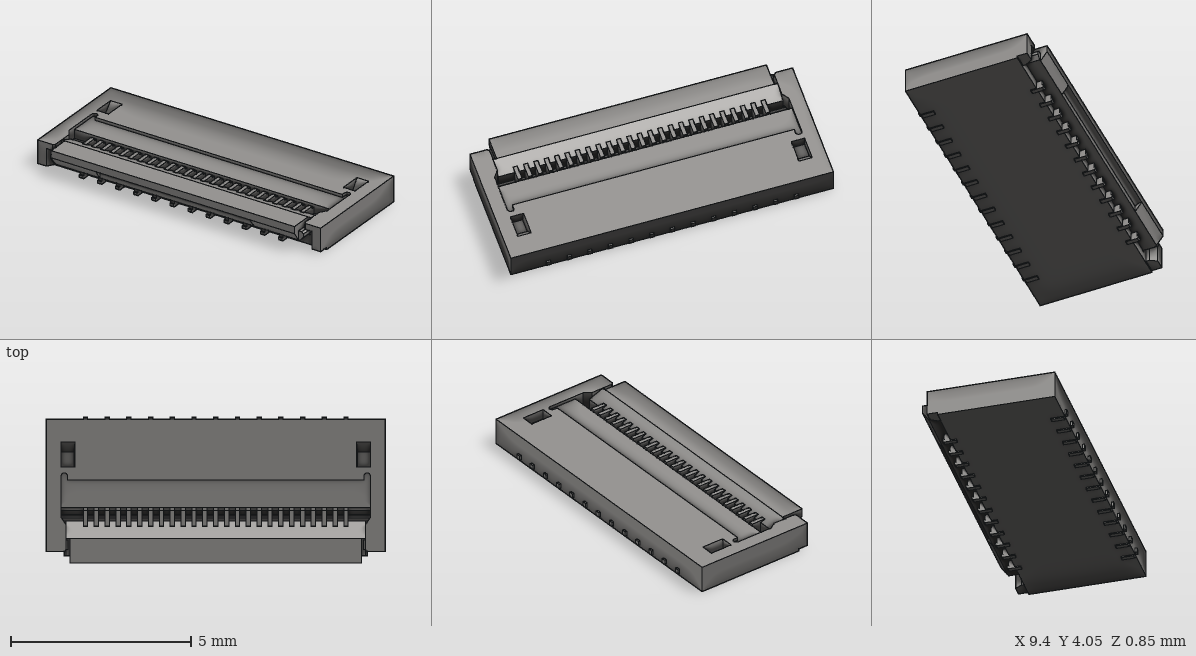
import cadquery as cq


length = 9.4
half_length = length / 2
housing_depth = 3.68
top_z = 0.85
base_z = 0.04
notch_z = 0.1
base_front = 3.37
base_top_z = 0.34

recess_inset = 0.41
shelf_z = 0.75
shelf_rear = 1.69
trench_rear = 2.45
trench_floor_z = 0.24
neck_start = 2.73
neck_end = 2.93
neck_inset = 0.55
horn_rear = 1.49
horn_width = 0.18
horn_radius = 0.08

post_front_inset = 0.29
post_bevel_end = 3.48
post_roof_z = 0.66
post_corner = 0.06
wedge_rear = 3.35
wedge_front = 3.61
wedge_inset = 0.6

window_width = 0.39
window_rear = 0.64
window_ramp_end = 0.91
window_front = 1.33
window_floor_z = 0.545
window_taper = 0.03

lever_front = 3.995
lever_inset = 0.66
lever_ridge = 3.31
lever_slope_start = 2.83
lever_slope_z = 0.66
lever_nose_z = 0.62
lever_heel = 3.8
mouth_half_width = 2.56
mouth_arc_y = 3.85
mouth_arc_z = 0.59
mouth_step_z = 0.54

ledge_z = 0.47
ledge_front = 2.54
sill_slope_end = 2.64
sill_slope_z = 0.35
sill_front = 2.69
sill_z = 0.32
sill_step = 2.745
sill_step_z = 0.3

tab_inset = 0.5
tab_front = 3.79
tab_bottom_z = 0.34
tab_chamfer_z = 0.46
tab_chamfer_inset = 0.61
tab_top_z = 0.62
tab_shoulder = 0.06

pitch = 0.3
contact_count = 25
contact_width = 0.12
beam_heel_z = 0.66
beam_z = 0.72
beam_tip = 2.97
beam_toe = 3.02
beam_toe_z = 0.68
rear_tail_reach = 0.06
rear_tail_z = 0.24
rear_foot_end = 0.4
front_foot_start = 3.21
front_foot_end = 3.6
front_lead_y = 3.55
front_lead_z = 0.26
foot_chamfer = 0.04


def box(x0, x1, y0, y1, z0, z1):
    """Box between two corners; y0 and y1 are distances in front of the rear face."""
    return cq.Workplane("XY").box(x1 - x0, y1 - y0, z1 - z0, centered=False).translate((x0, -y1, z0))


def side_profile(points, x0, x1):
    """Extrude a (distance from rear face, Z) outline along X."""
    outline = [(-y, z) for y, z in points]
    return cq.Workplane("YZ").polyline(outline).close().extrude(x1 - x0).translate((x0, 0, 0))


def plan_profile(points, z0, z1):
    """Extrude an (X, distance from rear face) outline along Z."""
    outline = [(x, -y) for x, y in points]
    return cq.Workplane("XY").polyline(outline).close().extrude(z1 - z0).translate((0, 0, z0))


def mirrored(half):
    """A feature of the left end together with its mirror image at the right end."""
    return half.union(half.mirror("YZ"))


def symmetric_outline(left_points):
    """Close a left-hand chain of points with its mirror image."""
    return left_points + [(-x, y) for x, y in reversed(left_points)]


def make_recess():
    side_x = recess_inset - half_length
    neck_x = neck_inset - half_length
    outline = symmetric_outline([
        (side_x, shelf_rear),
        (side_x, neck_start),
        (neck_x, neck_end),
        (neck_x, housing_depth - post_corner),
        (neck_x - post_corner, housing_depth),
    ])
    shelf = plan_profile(outline, shelf_z, top_z)
    trench = plan_profile(outline, trench_floor_z, top_z).intersect(side_profile([
        (trench_rear, top_z),
        (trench_rear, trench_floor_z),
        (lever_slope_start, trench_floor_z),
        (lever_slope_start, base_top_z),
        (housing_depth, base_top_z),
        (housing_depth, top_z),
    ], -half_length, half_length))
    horn = box(side_x, side_x + horn_width, horn_rear, shelf_rear, shelf_z, top_z)
    horn = horn.edges("|Z and >Y").fillet(horn_radius)
    return shelf.union(trench).union(mirrored(horn))


def make_mouth_relief():
    outline = symmetric_outline([
        (post_front_inset - half_length, housing_depth),
        (recess_inset - half_length, post_bevel_end),
        (recess_inset - half_length, base_front),
    ])
    return plan_profile(outline, base_z, post_roof_z)


def make_post_wedge():
    """Sloped inner face of an end post, leaning in below the top."""
    post_x = recess_inset - half_length
    section = cq.Workplane("XZ").polyline([
        (post_x, top_z),
        (neck_inset - half_length, top_z),
        (wedge_inset - half_length, post_roof_z),
        (post_x, post_roof_z),
    ]).close().extrude(wedge_front)
    return section.intersect(box(post_x, 0, wedge_rear, wedge_front, post_roof_z, top_z))


def make_window():
    x0 = recess_inset - half_length
    x1 = x0 + window_width
    ramp = [
        (window_rear, top_z),
        (window_ramp_end, window_floor_z),
        (window_front, window_floor_z),
        (window_front, top_z),
    ]
    opening = cq.Workplane("XZ").polyline([
        (x0, top_z), (x1, top_z), (x1 - window_taper, window_floor_z), (x0, window_floor_z),
    ]).close().extrude(window_front)
    return side_profile(ramp, x0, x1).intersect(opening)


def make_housing():
    housing = box(-half_length, half_length, 0, housing_depth, base_z, top_z)
    post_notch = box(-half_length, recess_inset - half_length, base_front, housing_depth, base_z, notch_z)
    housing = housing.cut(mirrored(post_notch)).cut(mirrored(make_window()))
    return housing.cut(make_recess()).cut(make_mouth_relief()).union(mirrored(make_post_wedge()))


def make_trench_sill():
    """Ledge at the back of the trench, falling steeply to a stepped floor."""
    points = [
        (trench_rear, trench_floor_z),
        (trench_rear, ledge_z),
        (ledge_front, ledge_z),
        (sill_slope_end, sill_slope_z),
        (sill_front, sill_z),
        (sill_step, sill_z),
        (sill_step, sill_step_z),
        (lever_slope_start, sill_step_z),
        (lever_slope_start, trench_floor_z),
    ]
    half_width = half_length - recess_inset
    return side_profile(points, -half_width, half_width)


def make_lever():
    rear_points = [
        (lever_slope_start, base_top_z),
        (lever_slope_start, lever_slope_z),
        (lever_ridge, top_z),
        (lever_ridge, base_top_z),
    ]
    rear_half = half_length - neck_inset
    front_points = [
        (lever_ridge, base_top_z),
        (lever_heel, base_top_z),
        (lever_front, lever_nose_z),
        (lever_front, top_z),
        (lever_ridge, top_z),
    ]
    front_half = half_length - lever_inset
    lever = side_profile(rear_points, -rear_half, rear_half)
    lever = lever.union(side_profile(front_points, -front_half, front_half))
    mouth = (
        cq.Workplane("YZ")
        .moveTo(-lever_front, lever_nose_z)
        .threePointArc((-mouth_arc_y, mouth_arc_z), (-lever_heel, mouth_step_z))
        .lineTo(-lever_heel, base_top_z)
        .lineTo(-lever_front, base_top_z)
        .close()
        .extrude(mouth_half_width, both=True)
    )
    return lever.cut(mouth)


def make_pivot_tab():
    outer_x = tab_inset - half_length
    inner_x = lever_inset - half_length
    section = cq.Workplane("XZ").polyline([
        (inner_x, tab_bottom_z),
        (tab_chamfer_inset - half_length, tab_bottom_z),
        (outer_x, tab_chamfer_z),
        (outer_x, tab_top_z - tab_shoulder),
        (outer_x + tab_shoulder, tab_top_z),
        (inner_x, tab_top_z),
    ]).close().extrude(tab_front)
    return section.intersect(box(outer_x, inner_x, lever_ridge, tab_front, 0, top_z))


def make_contact(index):
    x0 = (index - (contact_count - 1) / 2) * pitch - contact_width / 2
    x1 = x0 + contact_width
    contact = side_profile([
        (trench_rear, trench_floor_z),
        (trench_rear, beam_heel_z),
        (ledge_front, beam_heel_z),
        (ledge_front, beam_z),
        (beam_tip, beam_z),
        (beam_toe, beam_toe_z),
        (beam_toe, trench_floor_z),
    ], x0, x1)
    if index % 2 == 0:
        tail = box(x0, x1, -rear_tail_reach, rear_foot_end, notch_z, rear_tail_z)
        foot = side_profile([
            (0, notch_z),
            (0, foot_chamfer),
            (foot_chamfer, 0),
            (rear_foot_end, 0),
            (rear_foot_end, notch_z),
        ], x0, x1)
        return contact.union(tail).union(foot)
    lead = side_profile([
        (front_foot_start, front_lead_z),
        (front_foot_start, 0),
        (front_foot_end - foot_chamfer, 0),
        (front_foot_end, foot_chamfer),
        (front_foot_end, notch_z),
        (front_lead_y, notch_z),
        (front_lead_y, front_lead_z),
    ], x0, x1)
    return contact.union(lead)


result = make_housing().union(make_trench_sill()).union(make_lever()).union(mirrored(make_pivot_tab()))
for contact_index in range(contact_count):
    result = result.union(make_contact(contact_index))